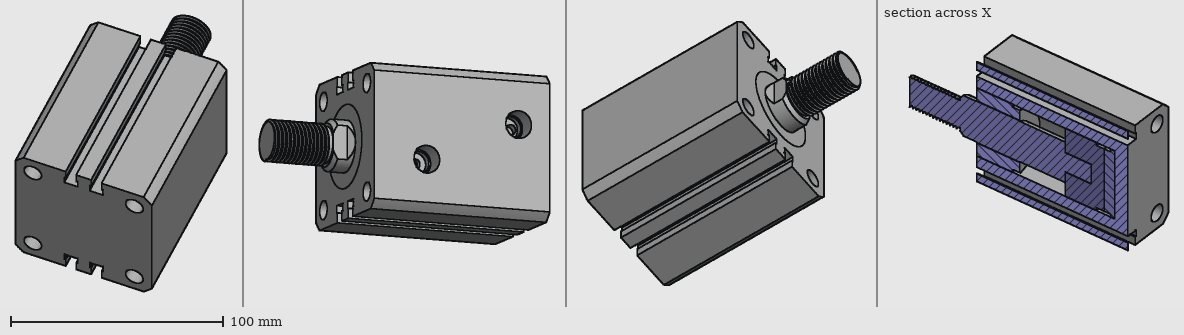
import cadquery as cq

total_length = 130.0
housing_length = 90.0
housing_width = 70.0
corner_diameter = 93.1
bolt_hole_spacing = 52.0
bolt_hole_diameter = 9.0

slot_spacing = 13.0
slot_mouth_width = 5.3
slot_inner_width = 6.8
slot_depth = 8.3
slot_lip_depth = 4.8

bore_diameter = 40.0
rear_wall = 7.8

port_mouth_diameter = 13.1
port_taper_end_diameter = 12.5
port_taper_depth = 10.0
port_drill_diameter = 10.8
port_drill_depth = 14.0
feed_hole_diameter = 5.0
port_height = 10.0
rear_port_y = 16.0
rear_feed_offset = 2.0
front_port_y = 63.0

nose_diameter = 37.5
end_plug_base_length = 2.6
piston_length = 23.4
piston_nose_length = 4.5
gland_length = 25.9
gland_nose_length = 4.5

rod_diameter = 25.0
rod_chamfer = 2.1
rod_spigot_diameter = 13.0
rod_spigot_length = 15.6
flats_width = 19.0
stud_length = 30.0
thread_diameter = 20.0
thread_root_diameter = 17.8
stud_pitch_count = 15
thread_start_gap = 1.5
thread_foot_ratio = 0.9
thread_crest_ratio = 0.12
thread_embed = 0.4

half_width = housing_width / 2
rear_feed_y = rear_port_y - rear_feed_offset
piston_rear_y = rear_feed_y
piston_front_y = piston_rear_y + piston_length
gland_rear_y = housing_length - gland_length
shoulder_y = total_length - stud_length
thread_pitch = stud_length / stud_pitch_count


def rod_axis_cylinder(diameter, start_y, end_y):
    """Cylinder on the Y axis between two Y positions."""
    axis = cq.Vector(0, 1, 0)
    solid = cq.Solid.makeCylinder(diameter / 2, end_y - start_y, cq.Vector(0, start_y, 0), axis)
    return cq.Workplane(obj=solid)


def block(width, start_y, end_y, low_z, high_z, center_x=0.0):
    """Box of the given X width between two Y and two Z positions."""
    return (
        cq.Workplane()
        .box(width, end_y - start_y, high_z - low_z, centered=(True, False, False))
        .translate((center_x, start_y, low_z))
    )


def t_slot(center_x):
    """Cutter for one T-slot in the top face, along the full housing."""
    mouth = block(slot_mouth_width, 0, housing_length, half_width - slot_depth, half_width, center_x)
    inner = block(
        slot_inner_width, 0, housing_length,
        half_width - slot_depth, half_width - slot_lip_depth, center_x,
    )
    return mouth.union(inner)


def port(port_y, port_z, feed_y):
    """Cutter for one port, from the -X face into the bore."""
    inward = cq.Vector(1, 0, 0)
    mouth_center = cq.Vector(-half_width, port_y, port_z)
    feed_start = cq.Vector(-half_width, feed_y, port_z)
    mouth = cq.Solid.makeCone(
        port_mouth_diameter / 2, port_taper_end_diameter / 2, port_taper_depth, mouth_center, inward
    )
    drill = cq.Solid.makeCylinder(port_drill_diameter / 2, port_drill_depth, mouth_center, inward)
    feed = cq.Solid.makeCylinder(feed_hole_diameter / 2, half_width, feed_start, inward)
    return cq.Workplane(obj=mouth).union(cq.Workplane(obj=drill)).union(cq.Workplane(obj=feed))


def make_housing():
    housing = block(housing_width, 0, housing_length, -half_width, half_width)
    housing = housing.intersect(rod_axis_cylinder(corner_diameter, 0, housing_length))

    for side in (-1, 1):
        slot = t_slot(side * slot_spacing / 2)
        housing = housing.cut(slot).cut(slot.mirror("XY"))

    bolt_holes = (
        cq.Workplane("XZ")
        .rect(bolt_hole_spacing, bolt_hole_spacing, forConstruction=True)
        .vertices()
        .circle(bolt_hole_diameter / 2)
        .extrude(-housing_length)
    )
    housing = housing.cut(bolt_holes)

    housing = housing.cut(rod_axis_cylinder(bore_diameter, rear_wall, housing_length))
    housing = housing.cut(port(rear_port_y, port_height, rear_feed_y))
    return housing.cut(port(front_port_y, -port_height, front_port_y))


def make_end_plug():
    """Plug on the bore floor, with a reduced nose next to the rear feed hole."""
    base = rod_axis_cylinder(bore_diameter, rear_wall, rear_wall + end_plug_base_length)
    nose = rod_axis_cylinder(nose_diameter, rear_wall, piston_rear_y)
    return base.union(nose)


def make_piston():
    """Piston with a reduced rear nose and a socket for the rod spigot."""
    head = rod_axis_cylinder(bore_diameter, piston_rear_y + piston_nose_length, piston_front_y)
    nose = rod_axis_cylinder(nose_diameter, piston_rear_y, piston_front_y)
    socket = rod_axis_cylinder(rod_spigot_diameter, piston_front_y - rod_spigot_length, piston_front_y)
    return head.union(nose).cut(socket)


def make_gland():
    """Rod guide that closes the front of the bore, with a reduced inner nose."""
    sleeve = rod_axis_cylinder(bore_diameter, gland_rear_y + gland_nose_length, housing_length)
    nose = rod_axis_cylinder(nose_diameter, gland_rear_y, housing_length)
    rod_hole = rod_axis_cylinder(rod_diameter, gland_rear_y, housing_length)
    return sleeve.union(nose).cut(rod_hole)


def flat_cutter():
    """Cutter for the +X wrench flat, which runs out at 45 degrees at the housing face."""
    flat_x = flats_width / 2
    outer_x = rod_diameter / 2
    runout = outer_x - flat_x
    return (
        cq.Workplane("XY")
        .moveTo(flat_x, shoulder_y)
        .lineTo(flat_x, housing_length + runout)
        .lineTo(outer_x, housing_length)
        .lineTo(outer_x, shoulder_y)
        .close()
        .extrude(outer_x, both=True)
    )


def thread_ridge():
    """Right-handed helical ridge around the Z axis, starting at the +X side on Z = 0."""
    root_radius = thread_root_diameter / 2
    crest_radius = thread_diameter / 2
    half_foot = thread_pitch * thread_foot_ratio / 2
    half_crest = thread_pitch * thread_crest_ratio / 2
    helix = cq.Wire.makeHelix(thread_pitch, stud_length - thread_start_gap, root_radius)
    return (
        cq.Workplane("XZ")
        .moveTo(root_radius - thread_embed, -half_foot)
        .lineTo(crest_radius, -half_crest)
        .lineTo(crest_radius, half_crest)
        .lineTo(root_radius - thread_embed, half_foot)
        .close()
        .sweep(cq.Workplane(obj=helix), isFrenet=True)
    )


def make_stud():
    """Threaded stud along Y whose last turn is cut off level with the rod tip."""
    core = cq.Workplane().circle(thread_root_diameter / 2).extrude(stud_length)
    envelope = cq.Workplane().circle(rod_diameter / 2).extrude(stud_length)
    ridge = thread_ridge().translate((0, 0, thread_start_gap))
    stud = core.union(ridge).intersect(envelope)
    return stud.rotate((0, 0, 0), (1, 0, 0), -90).translate((0, shoulder_y, 0))


def make_rod():
    shank = rod_axis_cylinder(rod_diameter, piston_front_y, shoulder_y)
    rod = shank.faces(">Y").chamfer(rod_chamfer)
    flat = flat_cutter()
    rod = rod.cut(flat).cut(flat.mirror("YZ"))
    spigot_y = piston_front_y - rod_spigot_length
    rod = rod.union(rod_axis_cylinder(rod_spigot_diameter, spigot_y, piston_front_y))
    return rod.union(make_stud())


housing = make_housing()
end_plug = make_end_plug()
piston = make_piston()
gland = make_gland()
rod = make_rod()

result = cq.Compound.makeCompound([
    housing.solids().val(),
    end_plug.solids().val(),
    piston.solids().val(),
    gland.solids().val(),
    rod.solids().val(),
])